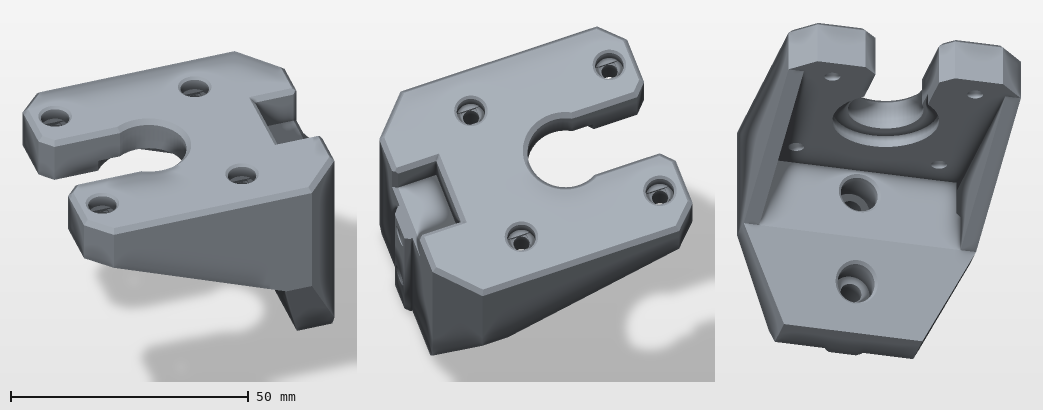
import cadquery as cq

WIDTH = 50.45
FULL_LENGTH = 58.3
HEIGHT = 45.8
FRONT_Y = -21.15
TONGUE_BACK_Y = FRONT_Y + FULL_LENGTH
EDGE_CHAMFER = 1.0

TONGUE_DEPTH = 1.4
BACK_Y = TONGUE_BACK_Y - TONGUE_DEPTH
BACK_CORNER_X = 8.85
BACK_CORNER_Y = 8.0
FRONT_CORNER_X = 5.1
FRONT_CORNER_Y = 4.9
SLOT_WIDTH = 13.8
SLOT_CORNER_X = 2.8
SLOT_CORNER_Y = 2.55

FLANGE_THICKNESS = 9.85
SHOULDER_Z = -26.0
SHOULDER_Y = 22.1
FOOT_Y = 27.85
FOOT_WIDTH = 30.0

SEAT_WIDTH = 43.7
BORE_DIAMETER = 16.0
BOSS_DIAMETER = 22.5
BOSS_ROOF_Z = -7.25
RELIEF_WIDTH = 0.9
RELIEF_DEPTH = 2.9
RELIEF_BOTTOM_Z = -17.2

MOTOR_SCREW_PITCH = 31.0
MOTOR_SCREW_DIAMETER = 3.4
MOTOR_HEAD_DIAMETER = 6.0
MOTOR_HEAD_DEPTH = 3.05
BRIDGE_STEP = 0.3
MOTOR_HEAD_CHAMFER = 0.5

WALL_SCREW_TOP_Z = -15.3
WALL_SCREW_PITCH = 20.0
WALL_SCREW_DIAMETER = 4.5
WALL_HEAD_DIAMETER = 8.0
WALL_THICKNESS_UNDER_HEAD = 6.0
WALL_HEAD_CHAMFER = 0.6

NOTCH_WIDTH = 15.05
NOTCH_FRONT_Y = 26.2
NOTCH_DEPTH = 8.0
TONGUE_BASE_WIDTH = 8.0
TONGUE_TIP_WIDTH = 5.95
TONGUE_CHAMFER = (TONGUE_BASE_WIDTH - TONGUE_TIP_WIDTH) / 2

HALF_WIDTH = WIDTH / 2
SLOT_SIDE_X = SLOT_WIDTH / 2
WALL_HEAD_SEAT_Y = BACK_Y - WALL_THICKNESS_UNDER_HEAD
WALL_SCREW_HEIGHTS = (WALL_SCREW_TOP_Z, WALL_SCREW_TOP_Z - WALL_SCREW_PITCH)

CLEARANCE = 0.6


def mirrored(points):
    """Extend a right-hand outline with its mirror image across X = 0."""
    return points + [(-x, y) for x, y in reversed(points)]


def box(x_min, x_max, y_min, y_max, z_min, z_max):
    """Box between two opposite corners."""
    size = (x_max - x_min, y_max - y_min, z_max - z_min)
    return cq.Workplane("XY").box(*size, centered=False).translate((x_min, y_min, z_min))


def post(diameter, z_min, z_max, x=0, y=0):
    """Vertical cylinder."""
    return cq.Workplane("XY", origin=(x, y, z_min)).circle(diameter / 2).extrude(z_max - z_min)


def flange_prism():
    """Full-height prism of the plan outline with the keyhole and the back notch."""
    outline = mirrored([
        (SLOT_SIDE_X, FRONT_Y + SLOT_CORNER_Y),
        (SLOT_SIDE_X + SLOT_CORNER_X, FRONT_Y),
        (HALF_WIDTH - FRONT_CORNER_X, FRONT_Y),
        (HALF_WIDTH, FRONT_Y + FRONT_CORNER_Y),
        (HALF_WIDTH, BACK_Y - BACK_CORNER_Y),
        (HALF_WIDTH - BACK_CORNER_X, BACK_Y),
    ])
    prism = cq.Workplane("XY").polyline(outline).close().extrude(-HEIGHT)
    slot = box(-SLOT_SIDE_X, SLOT_SIDE_X, FRONT_Y - CLEARANCE, 0, -HEIGHT, 0)
    notch = box(-NOTCH_WIDTH / 2, NOTCH_WIDTH / 2, NOTCH_FRONT_Y, TONGUE_BACK_Y, -NOTCH_DEPTH, 0)
    prism = prism.cut(slot).cut(post(BORE_DIAMETER, -HEIGHT, 0)).cut(notch)
    return prism.faces(">Z").edges().chamfer(EDGE_CHAMFER)


def side_envelope():
    """Side outline: flange, sloping rib underside and leaning foot."""
    return (
        cq.Workplane("YZ")
        .polyline([
            (FRONT_Y, 0),
            (FRONT_Y, -FLANGE_THICKNESS),
            (FRONT_Y + FRONT_CORNER_Y, -FLANGE_THICKNESS),
            (SHOULDER_Y, SHOULDER_Z),
            (FOOT_Y, -HEIGHT),
            (TONGUE_BACK_Y, -HEIGHT),
            (TONGUE_BACK_Y, 0),
        ])
        .close()
        .extrude(HALF_WIDTH, both=True)
    )


def front_envelope():
    """Front outline: full width down to the shoulder, then tapering to the foot."""
    outline = mirrored([(HALF_WIDTH, 0), (HALF_WIDTH, SHOULDER_Z), (FOOT_WIDTH / 2, -HEIGHT)])
    return (
        cq.Workplane("XZ", origin=(0, FRONT_Y, 0))
        .polyline(outline)
        .close()
        .extrude(FRONT_Y - TONGUE_BACK_Y)
    )


def tongue():
    """Vertical locating tongue with bevelled flanks on the back face."""
    outline = mirrored([
        (TONGUE_BASE_WIDTH / 2, BACK_Y - CLEARANCE),
        (TONGUE_BASE_WIDTH / 2, TONGUE_BACK_Y - TONGUE_CHAMFER),
        (TONGUE_TIP_WIDTH / 2, TONGUE_BACK_Y),
    ])
    return (
        cq.Workplane("XY", origin=(0, 0, -HEIGHT))
        .polyline(outline)
        .close()
        .extrude(HEIGHT - NOTCH_DEPTH)
    )


def notch_bevel():
    """45 degree flare of the notch mouth whose floor continues over the top of the tongue."""
    start_y = BACK_Y - EDGE_CHAMFER
    run = TONGUE_BACK_Y - start_y
    half = NOTCH_WIDTH / 2
    return (
        cq.Workplane("XZ", origin=(0, start_y, 0))
        .polyline(mirrored([(half, 0), (half, -NOTCH_DEPTH)]))
        .close()
        .workplane(offset=-run)
        .polyline(mirrored([(half + run, 0), (half + run, -NOTCH_DEPTH - run)]))
        .close()
        .loft(ruled=True)
    )


def motor_seat():
    """Space for the motor between the ribs, with its boss recess."""
    half = SEAT_WIDTH / 2
    seat = box(-half, half, FRONT_Y - CLEARANCE, SHOULDER_Y, -HEIGHT, -FLANGE_THICKNESS)
    return seat.union(post(BOSS_DIAMETER, -FLANGE_THICKNESS - CLEARANCE, BOSS_ROOF_Z))


def corner_relief(side):
    """Tapered groove into the back wall beside a rib, ending in a 45 degree slope."""
    inner_x = side * (SEAT_WIDTH / 2 - RELIEF_WIDTH)
    outer_x = side * SEAT_WIDTH / 2
    deep_y = SHOULDER_Y + RELIEF_DEPTH
    groove = (
        cq.Workplane("XY", origin=(0, 0, -FLANGE_THICKNESS))
        .polyline([(inner_x, SHOULDER_Y), (outer_x, deep_y), (outer_x, SHOULDER_Y)])
        .close()
        .extrude(-HEIGHT)
    )
    sloped_end = (
        cq.Workplane("XZ", origin=(0, SHOULDER_Y, 0))
        .polyline([
            (inner_x, 0),
            (inner_x, RELIEF_BOTTOM_Z),
            (outer_x, RELIEF_BOTTOM_Z - RELIEF_WIDTH),
            (outer_x, 0),
        ])
        .close()
        .extrude(-RELIEF_DEPTH)
    )
    return groove.intersect(sloped_end)


def motor_screw_hole(x, y):
    """Counterbored hole whose seat steps in through a slot and a square to the round hole."""
    radius = MOTOR_SCREW_DIAMETER / 2
    head = post(MOTOR_HEAD_DIAMETER, -MOTOR_HEAD_DEPTH, 0, x, y)
    first_step_z = -MOTOR_HEAD_DEPTH - BRIDGE_STEP
    second_step_z = first_step_z - BRIDGE_STEP
    strip = box(x - radius, x + radius, y - MOTOR_HEAD_DIAMETER, y + MOTOR_HEAD_DIAMETER,
                first_step_z, -MOTOR_HEAD_DEPTH)
    strip = strip.intersect(post(MOTOR_HEAD_DIAMETER, first_step_z, 0, x, y))
    square = box(x - radius, x + radius, y - radius, y + radius, second_step_z, first_step_z)
    shank = post(MOTOR_SCREW_DIAMETER, -FLANGE_THICKNESS, second_step_z, x, y)
    mouth = (
        cq.Workplane("XY", origin=(x, y, 0))
        .circle(MOTOR_HEAD_DIAMETER / 2 + MOTOR_HEAD_CHAMFER)
        .extrude(-MOTOR_HEAD_CHAMFER, taper=45)
    )
    return head.union(strip).union(square).union(shank).union(mouth)


def wall_screw_hole(z):
    """Hole through the back wall and tongue, counterbored from the motor side."""
    shank = (
        cq.Workplane("XZ", origin=(0, TONGUE_BACK_Y, z))
        .circle(WALL_SCREW_DIAMETER / 2)
        .extrude(TONGUE_BACK_Y - FRONT_Y)
    )
    head = (
        cq.Workplane("XZ", origin=(0, WALL_HEAD_SEAT_Y, z))
        .circle(WALL_HEAD_DIAMETER / 2)
        .extrude(WALL_HEAD_SEAT_Y)
    )
    return shank.union(head)


def front_face_y(z):
    """Y of the motor seat wall or, below the shoulder, of the leaning foot face."""
    lean = (FOOT_Y - SHOULDER_Y) / (SHOULDER_Z + HEIGHT)
    return SHOULDER_Y + lean * max(0, SHOULDER_Z - z)


def chamfer_wall_head(body, z):
    """Break the rim where a wall screw counterbore opens."""
    rim = cq.selectors.NearestToPointSelector((0, front_face_y(z), z))
    return body.edges(rim).chamfer(WALL_HEAD_CHAMFER)


body = flange_prism().intersect(side_envelope()).intersect(front_envelope())
body = body.union(tongue()).cut(notch_bevel()).cut(motor_seat())
for side in (-1, 1):
    body = body.cut(corner_relief(side))
    for y in (-MOTOR_SCREW_PITCH / 2, MOTOR_SCREW_PITCH / 2):
        body = body.cut(motor_screw_hole(side * MOTOR_SCREW_PITCH / 2, y))
for z in WALL_SCREW_HEIGHTS:
    body = body.cut(wall_screw_hole(z))
    body = chamfer_wall_head(body, z)
result = body